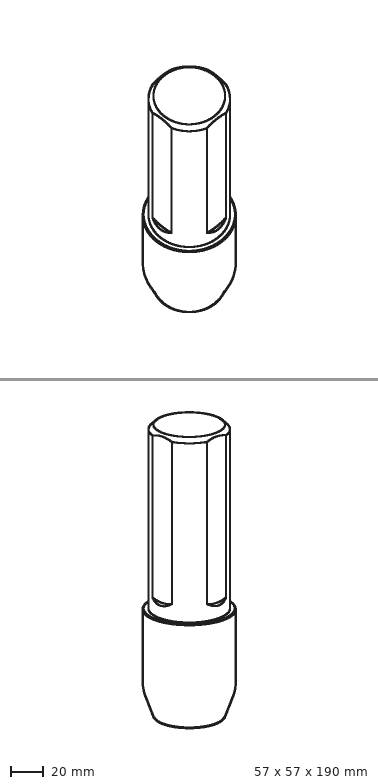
import cadquery as cq
import math

total_height = 190.0
body_diameter = 57.0
body_height = 70.3
shank_diameter = 50.0
shank_chamfer = 3.0
body_top_chamfer = 0.5

nose_top = 20.9
nose_angle = math.radians(20)
nose_blend_radius = 15.2
nose_tip_chamfer = 1.0

flat_count = 4
flat_offset = 23.5
flat_bottom = 80.0
flat_end_radius = shank_diameter / 2

body_radius = body_diameter / 2
shank_radius = shank_diameter / 2


def turned_blank():
    """Body, nose and shank as one revolved profile (X is radius, Y is height)."""

    def blend_point(angle):
        drop = nose_blend_radius * math.sin(angle)
        inset = nose_blend_radius * (1 - math.cos(angle))
        return body_radius - inset, nose_top - drop

    blend_end = blend_point(nose_angle)
    taper_inset = (blend_end[1] - nose_tip_chamfer) * math.tan(nose_angle)
    tip_radius = blend_end[0] - taper_inset

    profile = (
        cq.Workplane("XZ")
        .moveTo(0, 0)
        .lineTo(tip_radius - nose_tip_chamfer, 0)
        .lineTo(tip_radius, nose_tip_chamfer)
        .lineTo(*blend_end)
        .threePointArc(blend_point(nose_angle / 2), (body_radius, nose_top))
        .lineTo(body_radius, body_height - body_top_chamfer)
        .lineTo(body_radius - body_top_chamfer, body_height)
        .lineTo(shank_radius, body_height)
        .lineTo(shank_radius, total_height - shank_chamfer)
        .lineTo(shank_radius - shank_chamfer, total_height)
        .lineTo(0, total_height)
        .close()
    )
    return profile.revolve(360, (0, 0, 0), (0, 1, 0))


def flat_cutter():
    """Cutter for the flat on the -Y side, with a rounded lower end sloping out at 45 degrees."""
    depth = shank_radius - flat_offset
    end_center_z = flat_bottom + flat_end_radius
    slope = cq.Solid.makeCone(
        flat_end_radius,
        flat_end_radius + depth,
        depth,
        cq.Vector(0, -flat_offset, end_center_z),
        cq.Vector(0, -1, 0),
    )
    upper = cq.Workplane("XY").box(
        2 * flat_end_radius,
        depth,
        total_height - end_center_z,
        centered=(True, False, False),
    )
    upper = upper.translate((0, -shank_radius, end_center_z))
    return upper.union(cq.Workplane(slope))


result = turned_blank()
cutter = flat_cutter()
for index in range(flat_count):
    turn = index * 360 / flat_count
    result = result.cut(cutter.rotate((0, 0, 0), (0, 0, 1), turn))